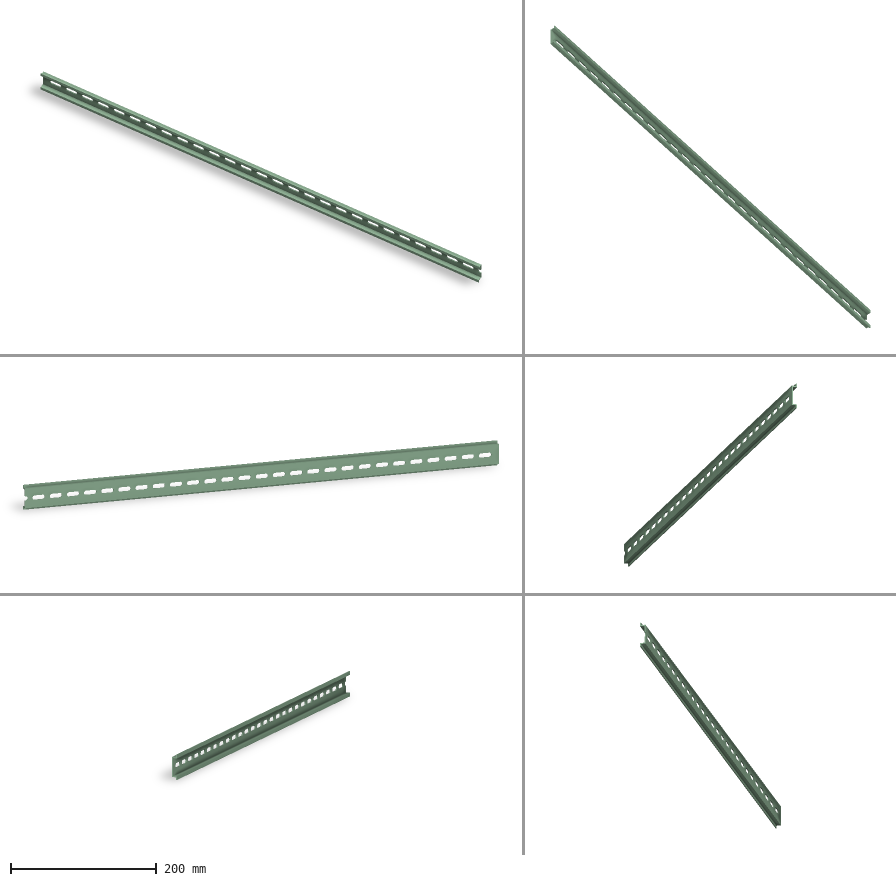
import cadquery as cq

rail_length = 690.0
rail_depth = 7.5
rail_height = 35.0
sheet_thickness = 1.5
flange_overhang = 3.6

slot_count = 28
slot_length = 18.0
slot_width = 6.3
first_slot_start = 11.0
last_slot_start = 686.0
slot_pitch = (last_slot_start - first_slot_start) / (slot_count - 1)


def hat_profile():
    """Closed (Y, Z) outline of the bent sheet, symmetric about Z = 0."""
    flange_front = 0.0
    flange_back = sheet_thickness
    web_front = rail_depth - sheet_thickness
    web_back = rail_depth

    flange_top = rail_height / 2
    wall_outer = flange_top - flange_overhang
    wall_inner = wall_outer - sheet_thickness

    upper_outside = [
        (flange_front, flange_top),
        (flange_back, flange_top),
        (flange_back, wall_outer),
        (web_back, wall_outer),
    ]
    upper_inside = [
        (web_front, wall_inner),
        (flange_front, wall_inner),
    ]
    lower_outside = [(y, -z) for y, z in reversed(upper_outside)]
    lower_inside = [(y, -z) for y, z in reversed(upper_inside)]
    return upper_outside + lower_outside + lower_inside + upper_inside


def make_rail():
    return cq.Workplane("YZ").polyline(hat_profile()).close().extrude(rail_length)


def make_slot_cutters():
    """Obround bars that pass through the web along Y."""
    first_centre = first_slot_start + slot_length / 2
    centres = [(first_centre + i * slot_pitch, 0) for i in range(slot_count)]
    return (
        cq.Workplane("XZ")
        .pushPoints(centres)
        .slot2D(slot_length, slot_width)
        .extrude(-rail_depth)
    )


result = make_rail().cut(make_slot_cutters())